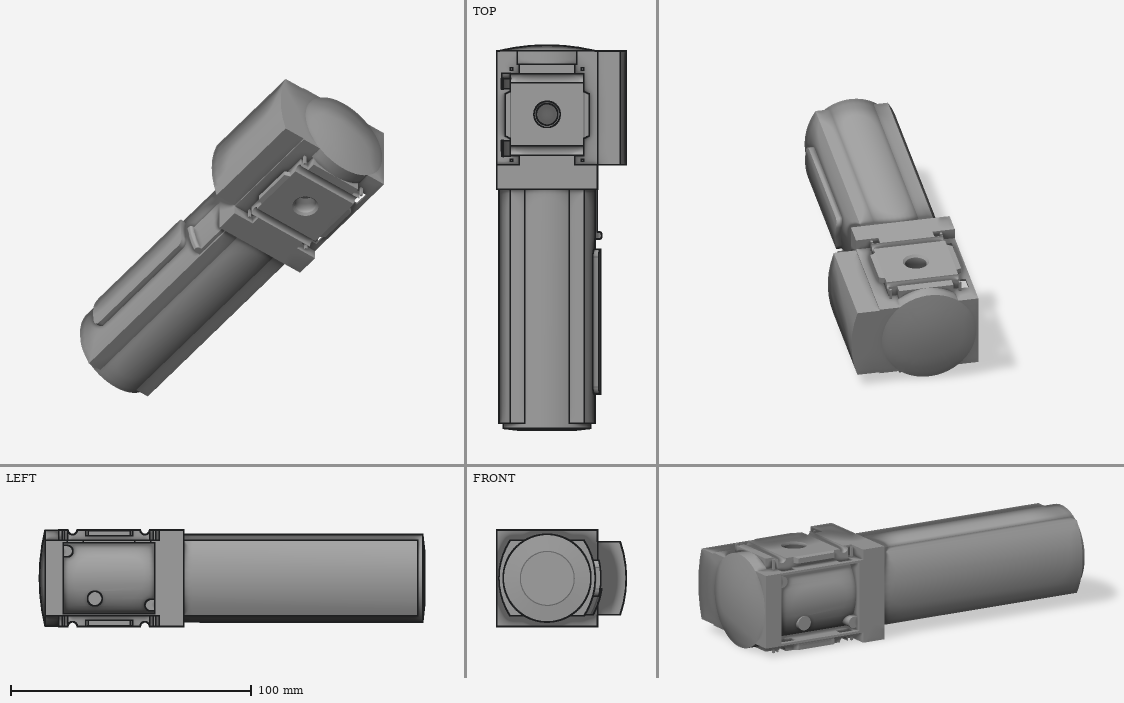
import cadquery as cq
import math


TOTAL_WIDTH = 54.0
TOTAL_LENGTH = 160.4
TOTAL_HEIGHT = 40.3

TUBE_LENGTH = 97.4
CORE_RADIUS = 18.3
TUBE_HALF_WIDTH = 20.0
TUBE_HALF_HEIGHT = 15.7
TUBE_SIDE_RADIUS = 28.9
TUBE_SIDE_CENTRE = TUBE_HALF_WIDTH - TUBE_SIDE_RADIUS
END_CYLINDER_LENGTH = 99.5
END_LENGTH = 100.2
END_FACE_RADIUS = 11.2

SHELL_OVERLAP = 1.6
LATCH_LENGTH = 20.7
LATCH_TOP = -4.5
LATCH_BOTTOM = -15.2
ARM_THICKNESS = 1.3
HOOK_THICKNESS = 3.0
HOOK_LENGTH = 3.0
HOOK_ROUNDING = 1.1
PLATE_START = 24.9
PLATE_END = 85.2
PLATE_HALF_HEIGHT = 7.5
PLATE_THICKNESS = 2.4
PLATE_CORNER_RADIUS = 3.0

HALF_WIDTH = 21.0
HALF_HEIGHT = TOTAL_HEIGHT / 2
HOUSING_LENGTH = 57.7
COLLAR_LENGTH = 10.3
FLANGE_START = 52.1
WEB_HALF_HEIGHT = 15.7
FLANGE_RADIUS = 20.0
DOME_HEIGHT = TOTAL_LENGTH - END_LENGTH - HOUSING_LENGTH

PAD_HALF_WIDTH = 15.2
NOTCH_WIDTH = 3.7
NOTCH_LENGTH = 3.8
POST_SIZE = 1.0
POST_INSET = 1.5
GROOVE_RADIUS = 2.0
GROOVE_POSITIONS = (16.2, 46.4)
LIP_WIDTH = 2.2
LIP_START = 21.2
LIP_END = 40.9
LIP_DROP = 0.3
LIP_HEIGHT = 2.5
LIP_CORNER = 1.1
PORT_POSITION = 31.3
PORT_RADIUS = 4.5
PORT_CHAMFER = 1.0
PORT_DEPTH = 9.6

WINDOW_START = 12.2
WINDOW_END = 50.2
WINDOW_HALF_HEIGHT = 14.8
WINDOW_FLOOR = -10.6
SLOT_LENGTH = 6.5
SLOT_WIDTH = 3.7
SLOT_STARTS = (13.8, 41.9)
PIN_DIAMETER = 6.1
PIN_POSITION = (37.0, -8.5)
PIN_END = -18.0
BOSS_RADIUS = 2.4
BOSS_END = -19.2
BOSS_INSET = 1.6
BOSS_OFFSET = 11.2

BLOCK_HALF_HEIGHT = 15.2
BLOCK_EDGE = 30.5
BLOCK_CROWN = TOTAL_WIDTH - HALF_WIDTH


def box(x0, x1, y0, y1, z0, z1):
    """Box between two opposite corners."""
    return cq.Workplane("XY").box(x1 - x0, y1 - y0, z1 - z0, centered=False).translate((x0, y0, z0))


def along_y(y0):
    """Sketch plane facing -Y at y0, with X to the right and Z up."""
    return cq.Workplane("XZ", origin=(0, y0, 0))


def tube_side_x(z):
    """X of the rounded +X tube side at height z."""
    return TUBE_SIDE_CENTRE + math.sqrt(TUBE_SIDE_RADIUS**2 - z**2)


def tube():
    corner_x = tube_side_x(TUBE_HALF_HEIGHT)
    sleeve = (
        along_y(0)
        .moveTo(-corner_x, -TUBE_HALF_HEIGHT)
        .lineTo(corner_x, -TUBE_HALF_HEIGHT)
        .threePointArc((TUBE_HALF_WIDTH, 0), (corner_x, TUBE_HALF_HEIGHT))
        .lineTo(-corner_x, TUBE_HALF_HEIGHT)
        .threePointArc((-TUBE_HALF_WIDTH, 0), (-corner_x, -TUBE_HALF_HEIGHT))
        .close()
        .extrude(TUBE_LENGTH)
    )
    core = (
        cq.Workplane("XY")
        .moveTo(0, 0)
        .lineTo(CORE_RADIUS, 0)
        .lineTo(CORE_RADIUS, -END_CYLINDER_LENGTH)
        .lineTo(END_FACE_RADIUS, -END_LENGTH)
        .lineTo(0, -END_LENGTH)
        .close()
        .revolve(360, (0, 0, 0), (0, 1, 0))
    )
    return sleeve.union(core)


def tube_shell(thickness, start, end, z0, z1):
    """Curved strip lying on the +X side of the tube between two distances from the housing."""
    disc = (
        along_y(-start)
        .center(TUBE_SIDE_CENTRE, 0)
        .circle(TUBE_SIDE_RADIUS + thickness)
        .extrude(end - start)
    )
    inner_x = tube_side_x(z0) - SHELL_OVERLAP
    outer_x = TUBE_HALF_WIDTH + thickness
    return disc.intersect(box(inner_x, outer_x, -end, -start, z0, z1))


def latch():
    hook_start = LATCH_LENGTH - HOOK_LENGTH
    arm = tube_shell(ARM_THICKNESS, 0, hook_start, LATCH_BOTTOM, LATCH_TOP)
    hook = tube_shell(HOOK_THICKNESS, hook_start, LATCH_LENGTH, LATCH_BOTTOM, LATCH_TOP)
    hook = hook.edges("%CIRCLE").fillet(HOOK_ROUNDING)
    return arm.union(hook)


def sight_plate():
    shell = tube_shell(PLATE_THICKNESS, PLATE_START, PLATE_END, -PLATE_HALF_HEIGHT, PLATE_HALF_HEIGHT)
    outline = (
        box(0, BLOCK_CROWN, -PLATE_END, -PLATE_START, -PLATE_HALF_HEIGHT, PLATE_HALF_HEIGHT)
        .edges("|X")
        .fillet(PLATE_CORNER_RADIUS)
    )
    return shell.intersect(outline)


def rear_flange():
    plate = box(
        -HALF_WIDTH, HALF_WIDTH, FLANGE_START, HOUSING_LENGTH, -WEB_HALF_HEIGHT, WEB_HALF_HEIGHT
    )
    disc = along_y(HOUSING_LENGTH).circle(FLANGE_RADIUS).extrude(HOUSING_LENGTH - FLANGE_START)
    dome_radius = (FLANGE_RADIUS**2 + DOME_HEIGHT**2) / (2 * DOME_HEIGHT)
    middle_radius = FLANGE_RADIUS / 2
    middle_drop = dome_radius - math.sqrt(dome_radius**2 - middle_radius**2)
    crown = HOUSING_LENGTH + DOME_HEIGHT
    dome = (
        cq.Workplane("XY")
        .moveTo(0, HOUSING_LENGTH)
        .lineTo(FLANGE_RADIUS, HOUSING_LENGTH)
        .threePointArc((middle_radius, crown - middle_drop), (0, crown))
        .close()
        .revolve(360, (0, 0, 0), (0, 1, 0))
    )
    return plate.union(disc).union(dome)


def lip():
    """Sloping wedge along the +X edge of the upper pad, with its two outer corners cut."""
    tip = PAD_HALF_WIDTH + LIP_WIDTH
    wedge = (
        along_y(LIP_END)
        .moveTo(0, HALF_HEIGHT - LIP_HEIGHT)
        .lineTo(tip, HALF_HEIGHT - LIP_HEIGHT)
        .lineTo(tip, HALF_HEIGHT - LIP_DROP)
        .lineTo(PAD_HALF_WIDTH, HALF_HEIGHT)
        .lineTo(0, HALF_HEIGHT)
        .close()
        .extrude(LIP_END - LIP_START)
    )
    outline = (
        box(0, tip, LIP_START, LIP_END, 0, HALF_HEIGHT)
        .edges("|Z and >X")
        .chamfer(LIP_CORNER, LIP_WIDTH)
    )
    return wedge.intersect(outline)


def upper_pad():
    pad = box(-PAD_HALF_WIDTH, PAD_HALF_WIDTH, COLLAR_LENGTH, FLANGE_START, 0, HALF_HEIGHT)
    notch_inner = PAD_HALF_WIDTH - NOTCH_WIDTH
    post_inner = PAD_HALF_WIDTH - POST_SIZE
    ends = (
        (COLLAR_LENGTH, COLLAR_LENGTH + NOTCH_LENGTH, COLLAR_LENGTH + POST_INSET),
        (FLANGE_START - NOTCH_LENGTH, FLANGE_START, FLANGE_START - POST_INSET - POST_SIZE),
    )
    for notch_start, notch_end, post_start in ends:
        notch = box(notch_inner, PAD_HALF_WIDTH, notch_start, notch_end, WEB_HALF_HEIGHT, HALF_HEIGHT)
        post = box(post_inner, PAD_HALF_WIDTH, post_start, post_start + POST_SIZE, 0, HALF_HEIGHT)
        pocket = notch.cut(post)
        pad = pad.cut(pocket).cut(pocket.mirror("YZ"))
    for y in GROOVE_POSITIONS:
        groove = (
            cq.Workplane("YZ", origin=(-HALF_WIDTH, y, HALF_HEIGHT))
            .circle(GROOVE_RADIUS)
            .extrude(2 * HALF_WIDTH)
        )
        pad = pad.cut(groove)
    return pad.union(lip()).union(lip().mirror("YZ"))


def upper_port():
    """Blind bore with a chamfered mouth."""
    return (
        cq.Workplane("XZ", origin=(0, PORT_POSITION, 0))
        .moveTo(0, HALF_HEIGHT - PORT_DEPTH)
        .lineTo(PORT_RADIUS, HALF_HEIGHT - PORT_DEPTH)
        .lineTo(PORT_RADIUS, HALF_HEIGHT - PORT_CHAMFER)
        .lineTo(PORT_RADIUS + PORT_CHAMFER, HALF_HEIGHT)
        .lineTo(0, HALF_HEIGHT)
        .close()
        .revolve(360, (0, 0, 0), (0, 1, 0))
    )


def window():
    """Cavity around the inner core, open towards -X, with slots through its upper and lower walls."""
    cavity = box(
        -HALF_WIDTH, WINDOW_FLOOR, WINDOW_START, WINDOW_END, -WINDOW_HALF_HEIGHT, WINDOW_HALF_HEIGHT
    )
    for start in SLOT_STARTS:
        slot = box(
            -PAD_HALF_WIDTH - SLOT_WIDTH,
            -PAD_HALF_WIDTH,
            start,
            start + SLOT_LENGTH,
            -WEB_HALF_HEIGHT,
            WEB_HALF_HEIGHT,
        )
        cavity = cavity.union(slot)
    core = along_y(HOUSING_LENGTH).circle(CORE_RADIUS).extrude(HOUSING_LENGTH)
    return cavity.cut(core)


def window_pins():
    """Round pin and two corner bosses standing in the window."""

    def peg(y, z, radius, end):
        return cq.Workplane("YZ", origin=(end, y, z)).circle(radius).extrude(-end)

    pins = peg(*PIN_POSITION, PIN_DIAMETER / 2, PIN_END)
    for wall, side, z_side in ((WINDOW_START, 1, -1), (WINDOW_END, -1, 1)):
        y = wall + side * BOSS_INSET
        z = z_side * BOSS_OFFSET
        boss = peg(y, z, BOSS_RADIUS, BOSS_END)
        foot = box(BOSS_END, 0, min(wall, y), max(wall, y), z - BOSS_RADIUS, z + BOSS_RADIUS)
        pins = pins.union(boss).union(foot)
    return pins


def side_block():
    """Block on the +X face with a crowned outer side."""
    return (
        along_y(HOUSING_LENGTH)
        .moveTo(0, -BLOCK_HALF_HEIGHT)
        .lineTo(BLOCK_EDGE, -BLOCK_HALF_HEIGHT)
        .threePointArc((BLOCK_CROWN, 0), (BLOCK_EDGE, BLOCK_HALF_HEIGHT))
        .lineTo(0, BLOCK_HALF_HEIGHT)
        .close()
        .extrude(HOUSING_LENGTH - COLLAR_LENGTH)
    )


def housing():
    collar = box(-HALF_WIDTH, HALF_WIDTH, 0, COLLAR_LENGTH, -HALF_HEIGHT, HALF_HEIGHT)
    web = box(-HALF_WIDTH, HALF_WIDTH, COLLAR_LENGTH, FLANGE_START, -WEB_HALF_HEIGHT, WEB_HALF_HEIGHT)
    pad = upper_pad()
    port = upper_port()
    body = collar.union(web).union(rear_flange()).union(side_block())
    body = body.union(pad).union(pad.mirror("XY"))
    body = body.cut(port).cut(port.mirror("XY"))
    return body.cut(window()).union(window_pins())


result = housing().union(tube()).union(latch()).union(sight_plate())